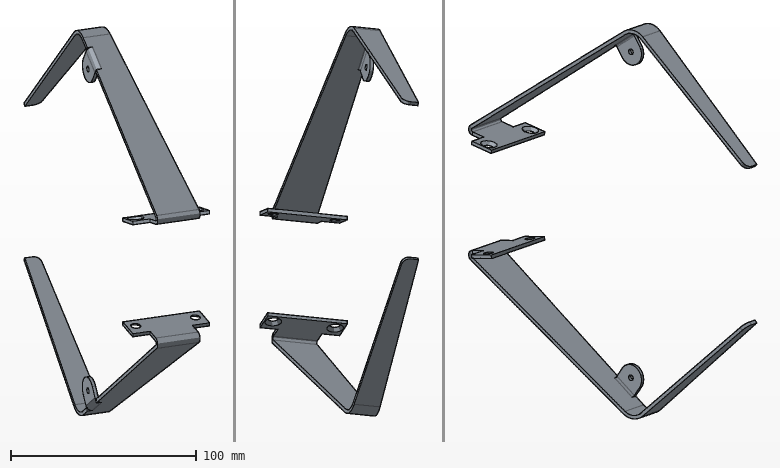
import cadquery as cq
import math

thickness = 2.0
strip_width = 25.0
tip_width = 8.5
tip_corner_radius = 4.4
total_length = 181.2
half_height = 109.5

main_bend_radius = 10.0
main_bend_x = 74.6
tip_leg_angle = 42.5
long_leg_angle = 35.0

flange_angle = 10.0
flange_bend_radius = 3.0
flange_length = 21.9
wing_length = 14.0
wing_overhang = 10.0
hole_spacing = 35.0
hole_edge_distance = 6.1
screw_hole_diameter = 5.3
countersink_diameter = 9.0
countersink_angle = 90.0

tab_radius = 7.5
tab_hole_diameter = 3.0
tab_position = 14.2
tab_hole_depth = 9.5
tab_bend_radius = 3.0

main_bend_z = half_height - main_bend_radius
flange_bend_x = total_length - flange_bend_radius


def point_at(center, radius, degrees):
    """Point on a circle, with the angle measured from +X toward +Z."""
    angle = math.radians(degrees)
    return (center[0] + radius * math.cos(angle), center[1] + radius * math.sin(angle))


main_center = (main_bend_x, main_bend_z)
tip_normal = 90 + tip_leg_angle
long_normal = 90 - long_leg_angle
flange_normal = -90 + flange_angle
leg_slope = math.radians(long_leg_angle)

bend_center_drop = (
    (flange_bend_x - main_bend_x) * math.tan(leg_slope)
    - (main_bend_radius - flange_bend_radius) / math.cos(leg_slope)
)
flange_center = (flange_bend_x, main_bend_z - bend_center_drop)
long_leg_start = point_at(main_center, main_bend_radius, long_normal)
long_leg_end = point_at(flange_center, flange_bend_radius, long_normal)
tip_leg_start = point_at(main_center, main_bend_radius, tip_normal)
tip_leg_length = tip_leg_start[0] / math.cos(math.radians(tip_leg_angle))
flange_start = point_at(flange_center, flange_bend_radius, flange_normal)
flange_end = point_at(flange_start, flange_length, 180 + flange_angle)


def make_strip():
    """Bent strip of constant thickness and full width."""
    main_inner = main_bend_radius - thickness
    flange_inner = flange_bend_radius - thickness
    tip_outer = point_at(tip_leg_start, tip_leg_length, 180 + tip_leg_angle)
    tip_inner = point_at(tip_outer, thickness, tip_normal - 180)
    flange_end_inner = point_at(flange_end, thickness, flange_normal + 180)
    profile = (
        cq.Workplane("XZ")
        .moveTo(*tip_outer)
        .lineTo(*tip_leg_start)
        .threePointArc(point_at(main_center, main_bend_radius, 90), long_leg_start)
        .lineTo(*long_leg_end)
        .threePointArc(point_at(flange_center, flange_bend_radius, 0), flange_start)
        .lineTo(*flange_end)
        .lineTo(*flange_end_inner)
        .lineTo(*point_at(flange_center, flange_inner, flange_normal))
        .threePointArc(
            point_at(flange_center, flange_inner, 0),
            point_at(flange_center, flange_inner, long_normal),
        )
        .lineTo(*point_at(main_center, main_inner, long_normal))
        .threePointArc(
            point_at(main_center, main_inner, 90),
            point_at(main_center, main_inner, tip_normal),
        )
        .lineTo(*tip_inner)
        .close()
    )
    return profile.extrude(-strip_width)


def taper_cutter():
    """Wedge, along the rear edge of both legs and above the flange."""
    taper_start = long_leg_end[0]
    margin = 2.2
    wedge = (
        cq.Workplane("XY")
        .moveTo(taper_start, strip_width)
        .lineTo(0, tip_width)
        .lineTo(-margin, tip_width)
        .lineTo(-margin, strip_width + margin)
        .lineTo(taper_start, strip_width + margin)
        .close()
        .extrude(half_height + margin)
    )
    flange_space = (
        cq.Workplane(flange_plane())
        .rect(2 * flange_length, 4 * strip_width)
        .extrude(thickness)
    )
    return wedge.cut(flange_space)


def flange_plane():
    """Local x runs from the flange's free edge to the bend, y along +Y, z up through the sheet."""
    angle = math.radians(flange_angle)
    return cq.Plane(
        origin=(flange_end[0], strip_width / 2, flange_end[1]),
        xDir=(math.cos(angle), 0, math.sin(angle)),
        normal=(-math.sin(angle), 0, math.cos(angle)),
    )


def make_wings():
    """Plate across the flange that forms the two screw wings."""
    plate_width = strip_width + 2 * wing_overhang
    return (
        cq.Workplane(flange_plane())
        .rect(wing_length, plate_width)
        .extrude(thickness)
        .translate(flange_plane().xDir * (wing_length / 2))
    )


def drill_flange(bracket):
    """Two screw holes, countersunk on the face toward the long leg."""
    countersink_depth = (countersink_diameter - screw_hole_diameter) / 2 / math.tan(
        math.radians(countersink_angle / 2)
    )
    for side in (-1, 1):
        center = (hole_edge_distance, side * hole_spacing / 2)
        hole = cq.Workplane(flange_plane()).center(*center).circle(screw_hole_diameter / 2).extrude(thickness)
        cone = (
            cq.Workplane(flange_plane())
            .workplane(offset=thickness - countersink_depth)
            .center(*center)
            .circle(screw_hole_diameter / 2)
            .workplane(offset=countersink_depth)
            .circle(countersink_diameter / 2)
            .loft()
        )
        bracket = bracket.cut(hole).cut(cone)
    return bracket


def round_tip(bracket):
    """Round the rear corner of the free tip."""
    corner = cq.selectors.BoxSelector(
        (-thickness, tip_width - thickness, 0),
        (2 * thickness, tip_width + thickness, half_height),
    )
    return bracket.edges(corner).fillet(tip_corner_radius)


def tab_plane():
    """Local x runs down the long leg, y out through its outer face, z toward -Y."""
    center = point_at(long_leg_start, tab_position, -long_leg_angle)
    return cq.Plane(
        origin=(center[0], 0, center[1]),
        xDir=(math.cos(leg_slope), 0, -math.sin(leg_slope)),
        normal=(0, -1, 0),
    )


def add_tab(bracket):
    """Replace the strip's front edge with a rounded bend that carries the tab."""
    def bend_block(depth):
        return (
            cq.Workplane(tab_plane())
            .center(0, -depth / 2)
            .rect(2 * tab_radius, depth)
            .extrude(-tab_bend_radius)
        )

    inner_radius = tab_bend_radius - thickness
    bend_axis = cq.Workplane(tab_plane().rotated((0, 90, 0)))
    axis_center = (tab_bend_radius, -tab_bend_radius)
    ring = (
        bend_axis.center(*axis_center)
        .circle(tab_bend_radius)
        .circle(inner_radius)
        .extrude(tab_radius, both=True)
    )
    bend = ring.intersect(bend_block(tab_bend_radius))
    plate = (
        cq.Workplane(tab_plane())
        .moveTo(-tab_radius, -tab_bend_radius)
        .lineTo(tab_radius, -tab_bend_radius)
        .lineTo(tab_radius, -tab_hole_depth)
        .threePointArc((0, -tab_hole_depth - tab_radius), (-tab_radius, -tab_hole_depth))
        .close()
        .extrude(-thickness)
    )
    hole = (
        cq.Workplane(tab_plane())
        .center(0, -tab_hole_depth)
        .circle(tab_hole_diameter / 2)
        .extrude(-thickness)
    )
    return bracket.cut(bend_block(thickness)).union(bend).union(plate).cut(hole)


def make_bracket():
    """Upper bracket, with the front edge of its strip at Y = 0."""
    bracket = make_strip().cut(taper_cutter())
    bracket = round_tip(bracket)
    bracket = bracket.union(make_wings())
    bracket = drill_flange(bracket)
    return add_tab(bracket).solids()


upper_bracket = make_bracket()
lower_bracket = upper_bracket.mirror("XY")

result = cq.Compound.makeCompound([upper_bracket.val(), lower_bracket.val()])